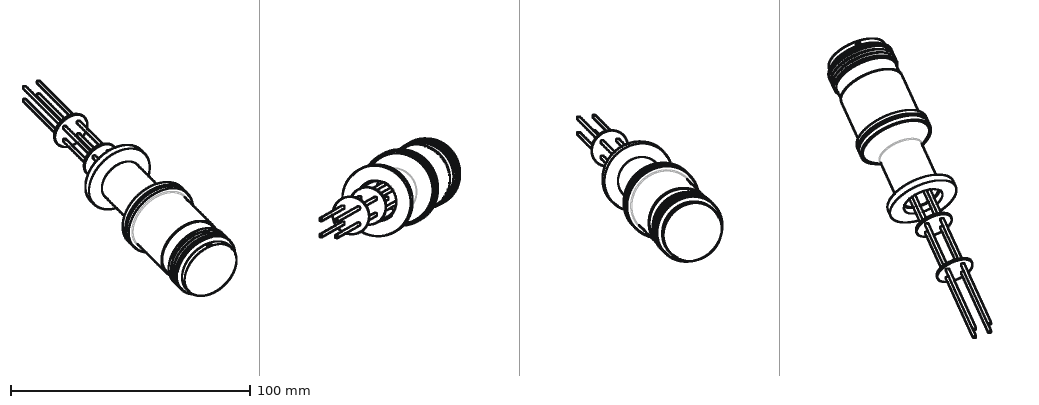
import cadquery as cq

overall_length = 142.1

flange_face_x = 67.0
flange_rim_width = 3.0
flange_taper_width = 1.4
flange_radius = 14.99
tube_radius = 9.5

cone_start_x = 92.4
cone_length = 5.4
cone_root_fillet = 0.7
collar_radius = 15.85
collar_width = 2.1
collar_groove_width = 1.1
collar_groove_radius = 14.9
rear_collar_width = 1.7

shell_radius = 13.9
shell_end_x = 125.5
shell_root_fillet = 0.4
neck_radius = 13.5

thread_crest_radius = 14.4
thread_first_crest_x = 131.9
thread_pitch = 1.7
thread_crest_count = 4
thread_run_in = 0.4
last_crest_x = 138.4
nose_radius = 12.8

key_length = 1.3
key_width = 2.0
key_depth = 1.1

mouth_radius = 8.7
mouth_depth = 3.0
bore_radius = 8.0
bore_end_x = cone_start_x

pin_diameter = 1.5
pin_spacing = 6.8
pin_tip_taper_length = 0.5
pin_tip_taper_depth = 0.1
pin_embedment = 1.4
disc_radius = 8.0
disc_thickness = 0.9
disc_center_positions = (31.4, 54.9)


def cylinder_along_x(start_x, end_x, radius):
    return cq.Workplane("YZ", origin=(start_x, 0, 0)).circle(radius).extrude(end_x - start_x)


def thread_points():
    """Zigzag from the neck over the full ridges to the last crest."""
    points = [(thread_first_crest_x - thread_run_in, neck_radius)]
    for ridge in range(thread_crest_count):
        crest_x = thread_first_crest_x + ridge * thread_pitch
        points.append((crest_x, thread_crest_radius))
        points.append((crest_x + thread_pitch / 2, neck_radius))
    points.append((last_crest_x, thread_crest_radius))
    return points


rim_end_x = flange_face_x + flange_rim_width
taper_end_x = rim_end_x + flange_taper_width
collar_start_x = cone_start_x + cone_length
groove_start_x = collar_start_x + collar_width
groove_end_x = groove_start_x + collar_groove_width
collar_end_x = groove_end_x + rear_collar_width

cone_end_radius = tube_radius + cone_length
nose_start_x = last_crest_x + thread_crest_radius - nose_radius


def make_body():
    """Solid of revolution for the flange, tube, collars and connector shell."""
    outline = [
        (flange_face_x, 0),
        (flange_face_x, flange_radius),
        (rim_end_x, flange_radius),
        (taper_end_x, tube_radius),
        (cone_start_x, tube_radius),
        (collar_start_x, cone_end_radius),
        (collar_start_x, collar_radius),
        (groove_start_x, collar_radius),
        (groove_start_x, collar_groove_radius),
        (groove_end_x, collar_groove_radius),
        (groove_end_x, collar_radius),
        (collar_end_x, collar_radius),
        (collar_end_x, shell_radius),
        (shell_end_x, shell_radius),
        (shell_end_x, neck_radius),
        *thread_points(),
        (nose_start_x, nose_radius),
        (overall_length, nose_radius),
        (overall_length, 0),
    ]
    body = cq.Workplane("XY").polyline(outline).close().revolve(360, (0, 0, 0), (1, 0, 0))
    body = fillet_ring(body, cone_start_x, cone_root_fillet)
    return fillet_ring(body, collar_end_x, shell_root_fillet, innermost=True)


def fillet_ring(body, ring_x, fillet_radius, innermost=False):
    """Round the circular edge at ring_x, or the smallest one if several share that place."""
    margin = 0.07
    reach = 2 * collar_radius
    slab = cq.selectors.BoxSelector(
        (ring_x - margin, -reach, -reach), (ring_x + margin, reach, reach)
    )
    rings = body.edges("%CIRCLE").edges(slab)
    if innermost:
        rings = rings.sort(lambda edge: edge.radius())[0]
    return rings.fillet(fillet_radius)


def make_bore():
    mouth = cylinder_along_x(flange_face_x, flange_face_x + mouth_depth, mouth_radius)
    bore = cylinder_along_x(flange_face_x, bore_end_x, bore_radius)
    return mouth.union(bore)


def make_key_slot():
    """Shallow rectangular pocket just behind the nose chamfer, facing +Z."""
    pocket_height = 2 * key_depth
    return cq.Workplane("XY").box(key_length, key_width, pocket_height).translate(
        (nose_start_x + key_length / 2, 0, nose_radius)
    )


def make_pins():
    pins = (
        cq.Workplane("YZ")
        .rarray(pin_spacing, pin_spacing, 2, 2)
        .circle(pin_diameter / 2)
        .extrude(bore_end_x + pin_embedment)
    )
    return pins.faces("<X").edges().chamfer(pin_tip_taper_length, pin_tip_taper_depth)


result = make_body().cut(make_bore()).cut(make_key_slot()).union(make_pins())
for center_x in disc_center_positions:
    half = disc_thickness / 2
    result = result.union(cylinder_along_x(center_x - half, center_x + half, disc_radius))